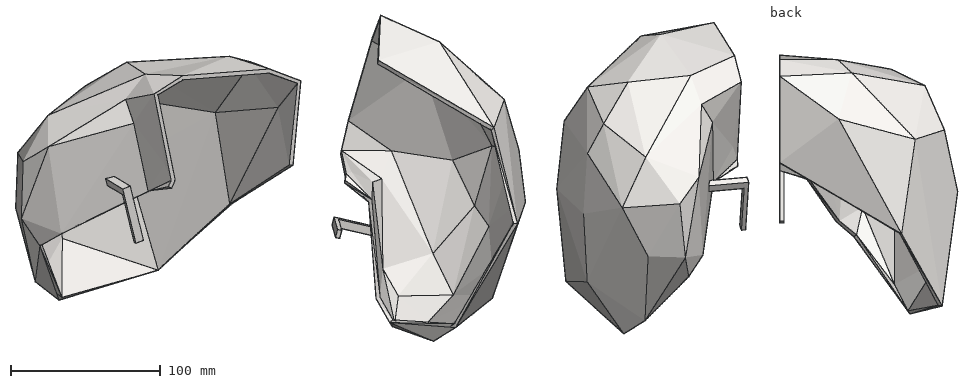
import cadquery as cq


WALL = 3.0

BAR_LENGTH = 27.3
BAR_HEIGHT = 5.0
BRACKET_DEPTH = 5.7
PLATE_THICKNESS = 3.0
PLATE_HEIGHT = 40.1
BRACKET_LEAN = 14.0
BRACKET_FRONT_Y = 49.5
BRACKET_FRONT_Z = 99.5

CORNERS = {
    "cut_nape": (0, 175.0, 100.9),
    "cut_back": (0, 180.7, 158.9),
    "cut_crown": (0, 157.6, 170.0),
    "cut_top": (0, 93.7, 173.1),
    "cut_brow": (0, 72.6, 163.0),
    "cut_recess": (0, 85.2, 101.3),
    "cut_rim": (0, 83.0, 97.2),
    "back_high": (-48.2, 166.1, 161.1),
    "back_inner": (-39.5, 184.8, 130.3),
    "back_outer": (-90.5, 160.4, 116.8),
    "back_low": (-81.5, 168.0, 53.5),
    "top_rear": (-38.8, 146.0, 170.0),
    "top_front": (-32.7, 81.3, 167.0),
    "top_outer": (-74.5, 86.8, 163.7),
    "shoulder_rear": (-97.2, 109.5, 152.6),
    "shoulder_mid": (-95.7, 66.1, 144.1),
    "shoulder_front": (-75.0, 29.2, 133.5),
    "side_rear": (-110.1, 123.6, 123.0),
    "side_peak": (-119.0, 106.5, 81.9),
    "side_high": (-107.5, 62.6, 125.0),
    "side_mid": (-112.5, 52.1, 86.0),
    "side_low": (-109.8, 53.4, 35.7),
    "front_outer": (-94.0, 15.7, 104.2),
    "front_high": (-57.5, 2.8, 109.2),
    "front_low": (-78.3, 6.8, 71.0),
    "front_tip": (-54.3, 0, 70.8),
    "front_inner": (-42.0, 14.2, 122.3),
    "brow_inner": (-29.0, 65.0, 152.5),
    "recess_high": (-20.9, 67.3, 137.7),
    "recess_mid": (-3.5, 82.2, 111.6),
    "rim_inner": (-18.3, 76.7, 89.8),
    "rim_mid": (-37.5, 21.6, 61.9),
    "rim_front": (-49.5, 11.5, 51.5),
    "bottom_front": (-77.5, 20.9, 18.1),
    "bottom_tip": (-87.0, 42.9, 0),
    "bottom_rear": (-108.6, 125.3, 5.4),
}

FANS = [
    "cut_nape: back_low back_inner cut_back",
    "back_high: cut_back back_inner back_outer shoulder_rear top_rear cut_crown cut_back",
    "back_outer: back_inner back_low bottom_rear side_peak side_rear shoulder_rear",
    "cut_top: cut_crown top_rear top_front cut_brow",
    "top_outer: top_rear shoulder_rear shoulder_mid shoulder_front top_front top_rear",
    "side_high: shoulder_rear side_rear side_peak side_mid front_outer shoulder_mid shoulder_rear",
    "side_low: side_peak bottom_rear bottom_tip bottom_front front_low front_outer side_mid side_peak",
    "shoulder_front: shoulder_mid front_outer",
    "front_high: shoulder_front front_outer front_low front_tip front_inner shoulder_front",
    "front_tip: front_low bottom_front rim_front rim_mid front_inner",
    "bottom_front: bottom_tip rim_front",
    "brow_inner: cut_brow top_front shoulder_front front_inner recess_high cut_brow",
    "recess_high: front_inner rim_mid rim_inner recess_mid cut_brow",
    "recess_mid: rim_inner cut_recess cut_brow",
    "rim_inner: cut_rim cut_recess",
]


def outer_triangles():
    """Corner-name triples of all outer facets."""
    triangles = []
    for fan in FANS:
        hub, ring = fan.split(": ")
        ring = ring.split()
        triangles += [(hub, first, second) for first, second in zip(ring, ring[1:])]
    return triangles


def outward_normal(triangle):
    a, b, c = (cq.Vector(*CORNERS[name]) for name in triangle)
    return (b - a).cross(c - a).normalized()


def inner_corner(name, triangles):
    """The corner moved inward by the wall, along the mean normal of the facets around it."""
    normal = cq.Vector(0, 0, 0)
    for triangle in triangles:
        if name in triangle:
            normal += outward_normal(triangle)
    corner = cq.Vector(*CORNERS[name])
    if corner.x == 0:
        normal = cq.Vector(0, normal.y, normal.z)
    return corner - normal.normalized() * WALL


def facet(*points):
    return cq.Face.makeFromWires(cq.Wire.makePolygon(points, close=True))


def make_shell():
    triangles = outer_triangles()
    outer = {name: cq.Vector(*place) for name, place in CORNERS.items()}
    inner = {name: inner_corner(name, triangles) for name in CORNERS}

    facets = []
    for a, b, c in triangles:
        facets.append(facet(outer[a], outer[b], outer[c]))
        facets.append(facet(inner[a], inner[c], inner[b]))

    edges = {edge for a, b, c in triangles for edge in ((a, b), (b, c), (c, a))}
    for start, end in sorted(edges):
        if (end, start) not in edges:
            facets.append(facet(outer[end], outer[start], inner[start]))
            facets.append(facet(outer[end], inner[start], inner[end]))
    return cq.Workplane(cq.Solid.makeSolid(cq.Shell.makeShell(facets)))


def make_bracket():
    """Bar and plate, drawn with their upper front edge on the X axis, then leaned and placed."""
    outline = [
        (0, 0),
        (-BAR_LENGTH, 0),
        (-BAR_LENGTH, -BAR_HEIGHT),
        (-PLATE_THICKNESS, -BAR_HEIGHT),
        (-PLATE_THICKNESS, -PLATE_HEIGHT),
        (0, -PLATE_HEIGHT),
    ]
    upright = cq.Workplane("XZ").polyline(outline).close().extrude(-BRACKET_DEPTH)
    leaned = upright.rotate((0, 0, 0), (1, 0, 0), BRACKET_LEAN)
    return leaned.translate((0, BRACKET_FRONT_Y, BRACKET_FRONT_Z))


result = make_shell().union(make_bracket())